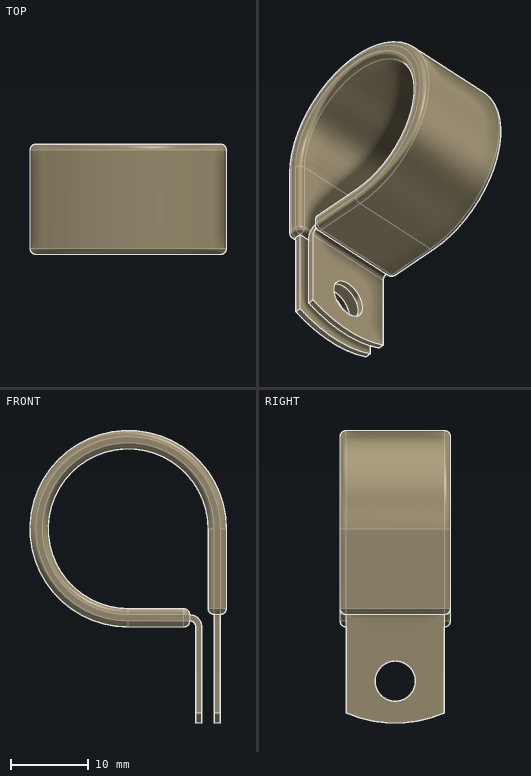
import cadquery as cq
import math

strap_thickness = 0.8128
strap_width = 12.7
sleeve_cover = 0.79375
loop_outer_radius = 12.715

sleeve_thickness = strap_thickness + 2 * sleeve_cover
sleeve_width = strap_width + 2 * sleeve_cover
loop_mid_radius = loop_outer_radius - sleeve_thickness / 2
loop_inner_radius = loop_outer_radius - sleeve_thickness
cos_45 = math.sqrt(0.5)

tab_gap = 2 * sleeve_cover
outer_tab_x = loop_mid_radius
inner_tab_x = outer_tab_x - tab_gap - strap_thickness
tab_bottom_z = -25.145
tab_end_radius = 15.875
tab_end_rise = tab_end_radius - math.sqrt(tab_end_radius**2 - (strap_width / 2) ** 2)
hole_diameter = 5.16
hole_z = -19.7

bend_inner_radius = 0.75
bend_mid_radius = bend_inner_radius + strap_thickness / 2
bend_start_x = inner_tab_x - bend_mid_radius

sleeve_lower_end_x = bend_start_x
sleeve_side_end_z = -11.08
strap_overlap = sleeve_cover


def make_sleeve():
    """Loop of 270 degrees with a straight leg at each end, all outside edges rounded."""
    outline = (
        cq.Workplane("XZ")
        .moveTo(loop_outer_radius, sleeve_side_end_z)
        .lineTo(loop_outer_radius, 0)
        .threePointArc(
            (-loop_outer_radius * cos_45, loop_outer_radius * cos_45),
            (0, -loop_outer_radius),
        )
        .lineTo(sleeve_lower_end_x, -loop_outer_radius)
        .lineTo(sleeve_lower_end_x, -loop_inner_radius)
        .lineTo(0, -loop_inner_radius)
        .threePointArc(
            (-loop_inner_radius * cos_45, loop_inner_radius * cos_45),
            (loop_inner_radius, 0),
        )
        .lineTo(loop_inner_radius, sleeve_side_end_z)
        .close()
    )
    body = outline.extrude(sleeve_width / 2, both=True)
    end_corners = cq.selectors.BoxSelector(
        (sleeve_lower_end_x - sleeve_cover, -sleeve_width, -2 * loop_outer_radius),
        (2 * loop_outer_radius, sleeve_width, sleeve_side_end_z / 2),
    )
    rounded_edges = body.faces("<Y or >Y").edges().add(body.edges("|Y").edges(end_corners))
    return rounded_edges.fillet(sleeve_cover)


def make_tab(x_mid, top_z):
    """Flat strap hanging from top_z, with an arc-shaped lower end and a screw hole."""
    half_width = strap_width / 2
    corner_z = tab_bottom_z + tab_end_rise
    return (
        cq.Workplane("YZ", origin=(x_mid, 0, 0))
        .moveTo(-half_width, top_z)
        .lineTo(-half_width, corner_z)
        .threePointArc((0, tab_bottom_z), (half_width, corner_z))
        .lineTo(half_width, top_z)
        .close()
        .moveTo(0, hole_z)
        .circle(hole_diameter / 2)
        .extrude(strap_thickness / 2, both=True)
    )


def make_bend():
    """Quarter-turn of strap that starts inside the lower sleeve leg and meets the inner tab."""
    path = (
        cq.Workplane("XZ")
        .moveTo(bend_start_x - strap_overlap, -loop_mid_radius)
        .lineTo(bend_start_x, -loop_mid_radius)
        .radiusArc((inner_tab_x, -loop_mid_radius - bend_mid_radius), bend_mid_radius)
    )
    return (
        cq.Workplane("YZ", origin=(bend_start_x - strap_overlap, 0, -loop_mid_radius))
        .rect(strap_width, strap_thickness)
        .sweep(path)
    )


inner_tab = make_tab(inner_tab_x, -loop_mid_radius - bend_mid_radius)
outer_tab = make_tab(outer_tab_x, sleeve_side_end_z + strap_overlap)

result = make_sleeve().union(make_bend()).union(inner_tab).union(outer_tab)